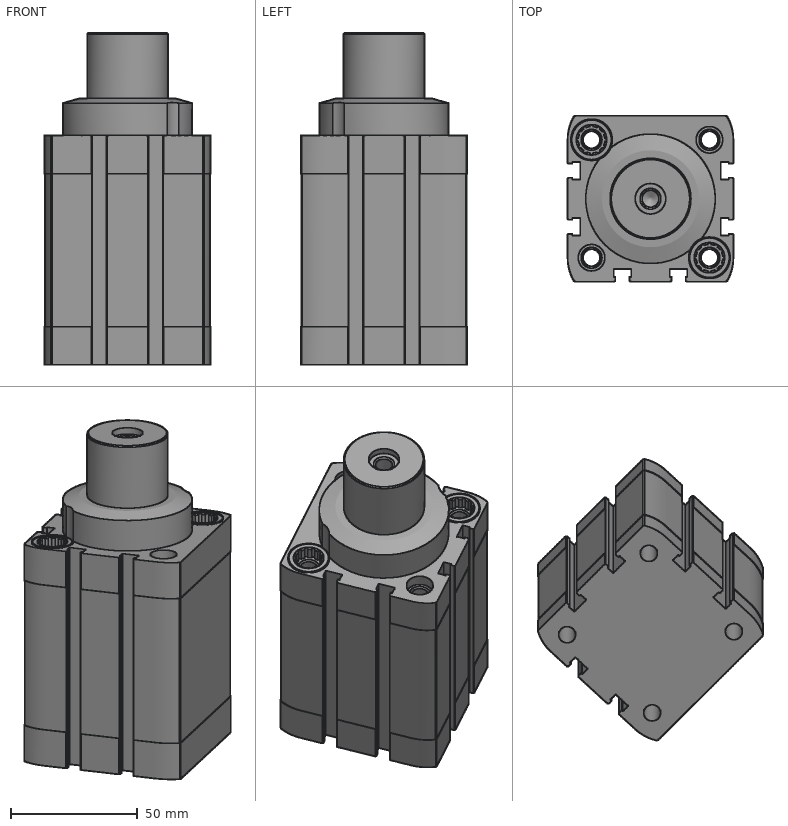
import cadquery as cq
import math

BODY_WIDTH = 65.5
BODY_HEIGHT = 90.5
HALF = BODY_WIDTH / 2
CAP_HEIGHT = 15.0
CORE_INSET = 0.1
CORNER_INSET = 2.6
CORNER_CHAMFER = 0.4

SLOT_PITCH = 22.1
SLOT_OFFSET = SLOT_PITCH / 2
SLOT_NECK_WIDTH = 5.5
SLOT_WIDTH = 6.8
SLOT_DEPTH = 5.0
SLOT_NECK_DEPTH = 2.0
SLOT_LIP_CHAMFER = 0.4

COLLAR_DIAMETER = 51.1
COLLAR_TOP_DIAMETER = 38.3
COLLAR_SHOULDER_Z = 103.2
COLLAR_TOP_Z = 105.0
ROD_DIAMETER = 32.0
ROD_TOP_Z = 131.0
ROD_CHAMFER = 0.5
ROD_RECESS_DIAMETER = 12.0
ROD_RECESS_DEPTH = 2.6
ROD_HOLE_DEPTH = 15.7
DRILL_POINT_ANGLE = 118.0

BOLT_PITCH = 46.5
BOLT_OFFSET = BOLT_PITCH / 2
BOLT_HOLE_DIAMETER = 6.7
HOLE_MOUTH_DIAMETER = 8.3
COUNTERSINK_ANGLE = 120.0
BOLT_RECESS_DIAMETER = 10.5
BOLT_RECESS_DEPTH = 4.6

SCREW_DIAMETER = 16.4
SCREW_HEIGHT = 10.0
SCREW_CHAMFER = 0.4
SOCKET_DIAMETER = 10.5
SOCKET_MOUTH_DIAMETER = 12.0
SOCKET_DEPTH = 5.0
LOBE_COUNT = 12
LOBE_DIAMETER = 1.3

PLAIN_HOLE_CENTRES = [(-BOLT_OFFSET, -BOLT_OFFSET), (BOLT_OFFSET, BOLT_OFFSET)]
SCREW_CENTRES = [(-BOLT_OFFSET, BOLT_OFFSET), (BOLT_OFFSET, -BOLT_OFFSET)]


def cylinder(diameter, z_bottom, z_top, centre=(0, 0)):
    disc = cq.Workplane("XY", origin=(*centre, z_bottom)).circle(diameter / 2)
    return disc.extrude(z_top - z_bottom)


def cone(bottom_diameter, top_diameter, z_bottom, z_top, centre=(0, 0)):
    solid = cq.Solid.makeCone(
        bottom_diameter / 2, top_diameter / 2, z_top - z_bottom, cq.Vector(*centre, z_bottom)
    )
    return cq.Workplane(solid)


def countersink_depth(mouth_diameter, hole_diameter):
    return (mouth_diameter - hole_diameter) / 2 / math.tan(math.radians(COUNTERSINK_ANGLE / 2))


def hole_mouth(z_top, centre=(0, 0)):
    """Countersink at the top of a bolt-sized hole."""
    depth = countersink_depth(HOLE_MOUTH_DIAMETER, BOLT_HOLE_DIAMETER)
    return cone(BOLT_HOLE_DIAMETER, HOLE_MOUTH_DIAMETER, z_top - depth, z_top, centre)


def block(half, height, z_bottom):
    """Block with flat faces whose corners bulge out as arcs tangent to the X faces."""
    rise = half - BOLT_OFFSET
    radius = (rise**2 + CORNER_INSET**2) / (2 * CORNER_INSET)
    half_angle = math.asin(rise / radius) / 2
    mid_x = half - radius + radius * math.cos(half_angle)
    mid_y = BOLT_OFFSET + radius * math.sin(half_angle)
    end_x = half - CORNER_INSET
    shape = (
        cq.Workplane("XY", origin=(0, 0, z_bottom))
        .moveTo(-end_x, -half)
        .lineTo(end_x, -half)
        .threePointArc((mid_x, -mid_y), (half, -BOLT_OFFSET))
        .lineTo(half, BOLT_OFFSET)
        .threePointArc((mid_x, mid_y), (end_x, half))
        .lineTo(-end_x, half)
        .threePointArc((-mid_x, mid_y), (-half, BOLT_OFFSET))
        .lineTo(-half, -BOLT_OFFSET)
        .threePointArc((-mid_x, -mid_y), (-end_x, -half))
        .close()
        .extrude(height)
    )
    arc_ends = shape.faces("<Y or >Y").edges("|Z")
    return shape.newObject(arc_ends.vals()).chamfer(CORNER_CHAMFER)


def slot_cutter(offset, face_angle):
    """T-slot in the -Y face, turned about Z onto another face."""
    mouth = SLOT_NECK_WIDTH / 2
    wide = SLOT_WIDTH / 2
    right_side = [
        (mouth + SLOT_LIP_CHAMFER, -HALF),
        (mouth, -HALF + SLOT_LIP_CHAMFER),
        (mouth, -HALF + SLOT_NECK_DEPTH),
        (wide, -HALF + SLOT_NECK_DEPTH),
        (wide, -HALF + SLOT_DEPTH),
    ]
    left_side = [(-x, y) for x, y in reversed(right_side)]
    outline = [(x + offset, y) for x, y in right_side + left_side]
    cutter = cq.Workplane("XY").polyline(outline).close().extrude(BODY_HEIGHT)
    return cutter.rotate((0, 0, 0), (0, 0, 1), face_angle)


def make_slotted_block():
    core = block(HALF - CORE_INSET, BODY_HEIGHT, 0)
    lower_band = block(HALF, CAP_HEIGHT, 0)
    upper_band = block(HALF, CAP_HEIGHT, BODY_HEIGHT - CAP_HEIGHT)
    body = core.union(lower_band).union(upper_band)
    for face_angle in (-90, 0, 90):
        for offset in (-SLOT_OFFSET, SLOT_OFFSET):
            body = body.cut(slot_cutter(offset, face_angle))
    return body


def make_collar_and_rod():
    collar = cylinder(COLLAR_DIAMETER, BODY_HEIGHT, COLLAR_SHOULDER_Z)
    cap = cone(COLLAR_DIAMETER, COLLAR_TOP_DIAMETER, COLLAR_SHOULDER_Z, COLLAR_TOP_Z)
    rod = cylinder(ROD_DIAMETER, BODY_HEIGHT, ROD_TOP_Z).faces(">Z").chamfer(ROD_CHAMFER)
    return collar.union(cap).union(rod)


def rod_hole():
    recess_floor = ROD_TOP_Z - ROD_RECESS_DEPTH
    hole_floor = recess_floor - ROD_HOLE_DEPTH
    point = BOLT_HOLE_DIAMETER / 2 / math.tan(math.radians(DRILL_POINT_ANGLE / 2))
    return (
        cylinder(ROD_RECESS_DIAMETER, recess_floor, ROD_TOP_Z)
        .union(cylinder(BOLT_HOLE_DIAMETER, hole_floor, recess_floor))
        .union(hole_mouth(recess_floor))
        .union(cone(0, BOLT_HOLE_DIAMETER, hole_floor - point, hole_floor))
    )


def make_housing():
    """Slotted block, collar and rod with all of their holes."""
    housing = make_slotted_block().union(make_collar_and_rod()).cut(rod_hole())
    for centre in PLAIN_HOLE_CENTRES + SCREW_CENTRES:
        housing = housing.cut(cylinder(BOLT_HOLE_DIAMETER, 0, BODY_HEIGHT, centre))
    recess_floor = BODY_HEIGHT - BOLT_RECESS_DEPTH
    for centre in PLAIN_HOLE_CENTRES:
        housing = housing.cut(cylinder(BOLT_RECESS_DIAMETER, recess_floor, BODY_HEIGHT, centre))
        housing = housing.cut(hole_mouth(recess_floor, centre))
    for centre in SCREW_CENTRES:
        bore = cylinder(SCREW_DIAMETER, BODY_HEIGHT - SCREW_HEIGHT, COLLAR_TOP_Z, centre)
        housing = housing.cut(bore)
    return housing


def make_screw(centre):
    """Hollow screw, flush with the block, with a lobed drive socket."""
    socket_floor = BODY_HEIGHT - SOCKET_DEPTH
    mouth_depth = countersink_depth(SOCKET_MOUTH_DIAMETER, SOCKET_DIAMETER)
    screw = cylinder(SCREW_DIAMETER, BODY_HEIGHT - SCREW_HEIGHT, BODY_HEIGHT)
    screw = screw.faces(">Z").chamfer(SCREW_CHAMFER)
    screw = screw.cut(cylinder(BOLT_HOLE_DIAMETER, BODY_HEIGHT - SCREW_HEIGHT, BODY_HEIGHT))
    screw = screw.cut(cylinder(SOCKET_DIAMETER, socket_floor, BODY_HEIGHT))
    lobes = (
        cq.Workplane("XY", origin=(0, 0, socket_floor))
        .polarArray(SOCKET_DIAMETER / 2, 0, 360, LOBE_COUNT)
        .circle(LOBE_DIAMETER / 2)
        .extrude(SOCKET_DEPTH)
    )
    screw = screw.cut(lobes)
    screw = screw.cut(
        cone(SOCKET_DIAMETER, SOCKET_MOUTH_DIAMETER, BODY_HEIGHT - mouth_depth, BODY_HEIGHT)
    )
    screw = screw.cut(hole_mouth(socket_floor))
    return screw.translate((*centre, 0))


housing = make_housing()
screws = [make_screw(centre) for centre in SCREW_CENTRES]

result = cq.Compound.makeCompound([housing.val(), *[screw.val() for screw in screws]])